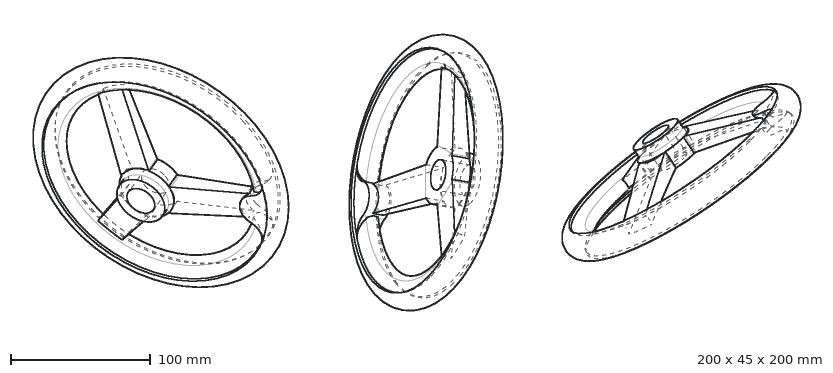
import cadquery as cq
import math

FULL_TURN = 360.0
OUTER_RADIUS = 100.0
RIM_THICKNESS = 22.0
RIM_HALF = RIM_THICKNESS / 2
CREST_RADIUS = OUTER_RADIUS - RIM_HALF
INNER_RADIUS = 75.0
DISH_RADIUS = 79.2
DISH_HALF = 5.0
RIM_STEP = 2.0
DISH_EDGE_HALF = RIM_HALF - RIM_STEP
DISH_OUTER_RADIUS = 88.5

TOTAL_DEPTH = 45.0
HUB_FRONT = RIM_HALF - TOTAL_DEPTH
COLLAR_RADIUS = 19.0
COLLAR_LENGTH = 6.0
HUB_RADIUS = 21.5
FLARE_LENGTH = 3.5
HUB_SHOULDER = HUB_FRONT + COLLAR_LENGTH + FLARE_LENGTH
HUB_BACK = -10.0
BORE_RADIUS = 11.0

SPOKE_COUNT = 3
SPOKE_ROOT_RADIUS = COLLAR_RADIUS
SPOKE_TIP_RADIUS = 78.0
SPOKE_ROOT_HALF = 12.5
SPOKE_TIP_HALF = 11.0
SPOKE_FRONT_TIP = -3.5
SPOKE_BACK_ROOT = HUB_BACK
SPOKE_BACK_TIP = 4.0

BOSS_RADIUS = 13.5
BOSS_CENTRE = 80.0
BOSS_BLEND_RADIUS = 13.0
BOSS_FACE = DISH_EDGE_HALF


def revolve_about_y(profile):
    return profile.close().revolve(FULL_TURN, (0, 0, 0), (0, 1, 0))


def make_rim():
    profile = (
        cq.Workplane("XY")
        .moveTo(CREST_RADIUS, -RIM_HALF)
        .threePointArc((OUTER_RADIUS, 0), (CREST_RADIUS, RIM_HALF))
        .lineTo(DISH_OUTER_RADIUS, DISH_EDGE_HALF)
        .lineTo(DISH_RADIUS, DISH_HALF)
        .threePointArc((INNER_RADIUS, 0), (DISH_RADIUS, -DISH_HALF))
        .lineTo(DISH_OUTER_RADIUS, -DISH_EDGE_HALF)
    )
    return revolve_about_y(profile)


def make_hub():
    collar_back = HUB_FRONT + COLLAR_LENGTH
    flare_mid = (
        COLLAR_RADIUS + (HUB_RADIUS - COLLAR_RADIUS) * (1 - math.cos(math.pi / 4)),
        collar_back + (HUB_SHOULDER - collar_back) * math.sin(math.pi / 4),
    )
    profile = (
        cq.Workplane("XY")
        .moveTo(0, HUB_FRONT)
        .lineTo(COLLAR_RADIUS, HUB_FRONT)
        .lineTo(COLLAR_RADIUS, collar_back)
        .threePointArc(flare_mid, (HUB_RADIUS, HUB_SHOULDER))
        .lineTo(HUB_RADIUS, HUB_BACK)
        .lineTo(0, HUB_BACK)
    )
    return revolve_about_y(profile)


def make_spoke():
    side = (
        cq.Workplane("XY")
        .moveTo(0, HUB_SHOULDER)
        .lineTo(SPOKE_ROOT_RADIUS, HUB_SHOULDER)
        .lineTo(SPOKE_TIP_RADIUS, SPOKE_FRONT_TIP)
        .lineTo(SPOKE_TIP_RADIUS, SPOKE_BACK_TIP)
        .lineTo(SPOKE_ROOT_RADIUS, SPOKE_BACK_ROOT)
        .lineTo(0, SPOKE_BACK_ROOT)
        .close()
        .extrude(SPOKE_ROOT_HALF, both=True)
    )
    plan = (
        cq.Workplane("XZ")
        .moveTo(0, -SPOKE_ROOT_HALF)
        .lineTo(SPOKE_ROOT_RADIUS, -SPOKE_ROOT_HALF)
        .lineTo(SPOKE_TIP_RADIUS, -SPOKE_TIP_HALF)
        .lineTo(SPOKE_TIP_RADIUS, SPOKE_TIP_HALF)
        .lineTo(SPOKE_ROOT_RADIUS, SPOKE_ROOT_HALF)
        .lineTo(0, SPOKE_ROOT_HALF)
        .close()
        .extrude(OUTER_RADIUS, both=True)
    )
    return side.intersect(plan)


def make_handle_boss():
    """Round boss on the +X spoke, blended by concave arcs tangent to the outer edge of the dish."""
    to_axis = DISH_OUTER_RADIUS - BOSS_BLEND_RADIUS
    to_boss = BOSS_RADIUS + BOSS_BLEND_RADIUS
    blend_x = (to_axis**2 - to_boss**2 + BOSS_CENTRE**2) / (2 * BOSS_CENTRE)
    blend_z = math.sqrt(to_axis**2 - blend_x**2)
    dish_x = blend_x * DISH_OUTER_RADIUS / to_axis
    dish_z = blend_z * DISH_OUTER_RADIUS / to_axis
    touch_x = BOSS_CENTRE + (blend_x - BOSS_CENTRE) * BOSS_RADIUS / to_boss
    touch_z = blend_z * BOSS_RADIUS / to_boss
    dish_angle = math.atan2(dish_z - blend_z, dish_x - blend_x)
    touch_angle = math.atan2(touch_z - blend_z, touch_x - blend_x)
    mid_angle = (dish_angle + touch_angle) / 2
    mid_x = blend_x + BOSS_BLEND_RADIUS * math.cos(mid_angle)
    mid_z = blend_z + BOSS_BLEND_RADIUS * math.sin(mid_angle)
    return (
        cq.Workplane("XZ")
        .moveTo(dish_x, dish_z)
        .threePointArc((mid_x, mid_z), (touch_x, touch_z))
        .threePointArc((BOSS_CENTRE - BOSS_RADIUS, 0), (touch_x, -touch_z))
        .threePointArc((mid_x, -mid_z), (dish_x, -dish_z))
        .threePointArc((DISH_OUTER_RADIUS, 0), (dish_x, dish_z))
        .close()
        .extrude(BOSS_FACE, both=True)
    )


wheel = make_rim().union(make_hub()).union(make_handle_boss())
for index in range(SPOKE_COUNT):
    angle = index * FULL_TURN / SPOKE_COUNT
    wheel = wheel.union(make_spoke().rotate((0, 0, 0), (0, 1, 0), angle))

bore = cq.Workplane("XZ").circle(BORE_RADIUS).extrude(OUTER_RADIUS, both=True)
result = wheel.cut(bore)